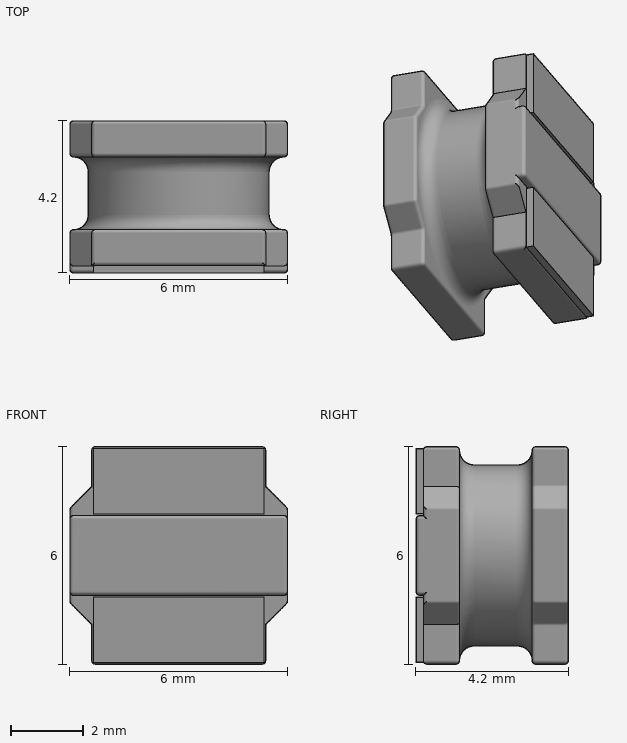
import cadquery as cq
import math

width = 6.0
depth = 4.2
height = 6.0

flange_thickness = 1.0
neck_half_width = 2.4
shoulder = width / 2 - neck_half_width
shoulder_start = 1.3
edge_radius = 0.1

core_radius = 2.5
core_fillet = 0.4

relief_height = 0.2
bar_half_height = 1.1
pad_gap = 0.05
pad_inset = 0.05

back_y = depth / 2
front_y = -depth / 2
back_flange_inner_y = back_y - flange_thickness
front_flange_outer_y = front_y + relief_height
front_flange_inner_y = front_flange_outer_y + flange_thickness


def flange(start_y):
    """Twelve-sided flange plate starting at start_y and extending toward +Y."""
    half_width = width / 2
    half_height = height / 2
    shoulder_end = shoulder_start + shoulder
    quarter = [
        (half_width, shoulder_start),
        (neck_half_width, shoulder_end),
        (neck_half_width, half_height),
    ]
    upper = quarter + [(-x, z) for x, z in reversed(quarter)]
    lower = [(-x, -z) for x, z in upper]
    return (
        cq.Workplane("XZ", origin=(0, start_y, 0))
        .polyline(upper + lower)
        .close()
        .extrude(-flange_thickness)
    )


def block(half_width, low_z, high_z, rear_y):
    """Rectangular block between rear_y and the front plane."""
    solid = cq.Workplane("XY").box(
        2 * half_width, rear_y - front_y, high_z - low_z, centered=(True, False, False)
    )
    return solid.translate((0, front_y, low_z))


def back_flange():
    """Flange with every edge rounded."""
    return flange(back_flange_inner_y).edges().fillet(edge_radius)


def front_flange():
    """Flange with its middle bar, rounded only around its outermost flat faces."""
    bar = block(width / 2, -bar_half_height, bar_half_height, front_flange_outer_y)
    body = flange(front_flange_outer_y).union(bar)
    rounded_faces = body.faces("<X or >X or <Y or >Y or <Z or >Z")
    return rounded_faces.edges().fillet(edge_radius)


def core():
    """Round core flaring into both flanges with a concave fillet."""
    flare_radius = core_radius + core_fillet
    bend = core_fillet * (1 - math.cos(math.pi / 4))
    return (
        cq.Workplane("XY")
        .moveTo(0, front_flange_inner_y - edge_radius)
        .lineTo(-flare_radius, front_flange_inner_y - edge_radius)
        .lineTo(-flare_radius, front_flange_inner_y)
        .threePointArc(
            (-core_radius - bend, front_flange_inner_y + bend),
            (-core_radius, front_flange_inner_y + core_fillet),
        )
        .lineTo(-core_radius, back_flange_inner_y - core_fillet)
        .threePointArc(
            (-core_radius - bend, back_flange_inner_y - bend),
            (-flare_radius, back_flange_inner_y),
        )
        .lineTo(-flare_radius, back_flange_inner_y + edge_radius)
        .lineTo(0, back_flange_inner_y + edge_radius)
        .close()
        .revolve(360, (0, 0, 0), (0, 1, 0))
    )


def electrode_pad(side):
    """Pad above (side = 1) or below (side = -1) the bar, rooted under the edge rounding."""
    near_z = side * (bar_half_height + pad_gap)
    far_z = side * (height / 2 - pad_inset)
    return block(
        neck_half_width - pad_inset,
        min(near_z, far_z),
        max(near_z, far_z),
        front_flange_outer_y + edge_radius,
    )


result = front_flange().union(back_flange()).union(core())
for side in (1, -1):
    result = result.union(electrode_pad(side))